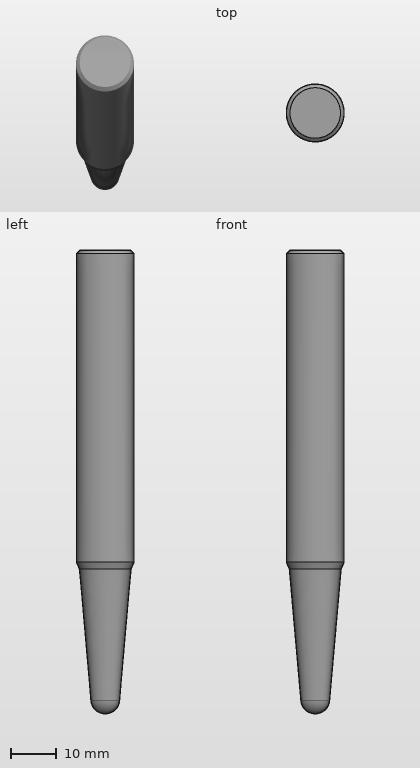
import cadquery as cq
import math

total_length = 101.6
shank_radius = 6.35
top_chamfer = 0.8
shoulder_height = 33.2
tip_height = 31.7
tip_top_radius = 5.7
ball_radius = shank_radius / 2

joint_above_ball_center = tip_height - ball_radius
joint_distance = math.hypot(tip_top_radius, joint_above_ball_center)
taper_angle = math.asin(tip_top_radius / joint_distance) - math.asin(ball_radius / joint_distance)
tangent_radius = ball_radius * math.cos(taper_angle)
tangent_height = ball_radius * (1 - math.sin(taper_angle))


def revolve_about_z(profile):
    """Turn a closed half outline, drawn as radius and height, about the Z axis."""
    return profile.revolve(360, (0, 0, 0), (0, 1, 0))


def make_shank():
    """Round shank with a chamfered top and a conical lower shoulder."""
    profile = (
        cq.Workplane("XZ")
        .moveTo(0, tip_height)
        .lineTo(tip_top_radius, tip_height)
        .lineTo(shank_radius, shoulder_height)
        .lineTo(shank_radius, total_length - top_chamfer)
        .lineTo(shank_radius - top_chamfer, total_length)
        .lineTo(0, total_length)
        .close()
    )
    return revolve_about_z(profile)


def make_tip():
    """Tapered tip that ends in a tangent ball."""
    arc_middle_angle = (math.pi / 2 - taper_angle) / 2
    arc_middle = (
        ball_radius * math.sin(arc_middle_angle),
        ball_radius * (1 - math.cos(arc_middle_angle)),
    )
    profile = (
        cq.Workplane("XZ")
        .moveTo(0, 0)
        .threePointArc(arc_middle, (tangent_radius, tangent_height))
        .lineTo(tip_top_radius, tip_height)
        .lineTo(0, tip_height)
        .close()
    )
    return revolve_about_z(profile)


shank = make_shank()
tip = make_tip()

result = cq.Compound.makeCompound([shank.val(), tip.val()])